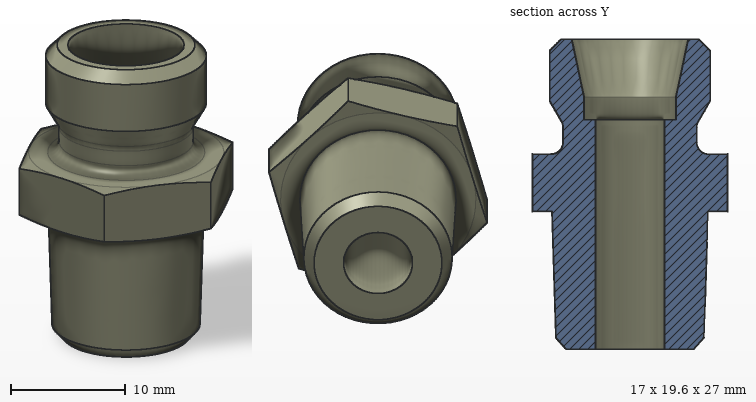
import cadquery as cq
import math

total_height = 27.0
hex_bottom = 12.0
hex_top = 17.0

across_flats = 17.0
across_corners = across_flats / math.cos(math.radians(30))
hex_chamfer_angle = 15.0

stub_top_diameter = 13.6
stub_taper = 1 / 16
stub_chamfer_width = 0.9
stub_chamfer_height = 1.0

collar_diameter = 14.0
collar_bottom = 21.63
collar_chamfer = 1.0
neck_diameter = 11.7
neck_fillet = 1.0
underside_angle = 30.0

bore_diameter = 6.0
socket_diameter = 8.0
socket_depth = 7.0
mouth_diameter = 10.12
mouth_half_angle = 12.0


def make_hexagon():
    """Hexagon with flats facing X, its corners cut back by a cone at both ends."""
    height = hex_top - hex_bottom
    prism = (
        cq.Workplane("XY")
        .workplane(offset=hex_bottom)
        .polygon(6, across_corners)
        .extrude(height)
        .rotate((0, 0, 0), (0, 0, 1), 30)
    )
    flat_radius = across_flats / 2
    rim_radius = across_corners / 2 + 0.27
    drop = (rim_radius - flat_radius) * math.tan(math.radians(hex_chamfer_angle))
    envelope = (
        cq.Workplane("XZ")
        .moveTo(0, hex_bottom)
        .lineTo(flat_radius, hex_bottom)
        .lineTo(rim_radius, hex_bottom + drop)
        .lineTo(rim_radius, hex_top - drop)
        .lineTo(flat_radius, hex_top)
        .lineTo(0, hex_top)
        .close()
        .revolve(360, (0, 0, 0), (0, 1, 0))
    )
    return prism.intersect(envelope)


def make_turned_body():
    """Solid of revolution: tapered stub, filleted neck and chamfered collar."""
    stub_top_radius = stub_top_diameter / 2
    taper_length = hex_bottom - stub_chamfer_height
    stub_bottom_radius = stub_top_radius - taper_length * stub_taper / 2
    neck_radius = neck_diameter / 2
    collar_radius = collar_diameter / 2
    fillet_center_radius = neck_radius + neck_fillet
    fillet_center_height = hex_top + neck_fillet
    fillet_offset = neck_fillet * math.sqrt(0.5)

    underside = math.radians(underside_angle)
    neck_top = collar_bottom - (collar_radius - neck_radius) / math.tan(underside)
    round_start = neck_top - neck_fillet * math.tan(underside / 2)

    def round_point(angle):
        return (
            fillet_center_radius - neck_fillet * math.cos(angle),
            round_start + neck_fillet * math.sin(angle),
        )

    return (
        cq.Workplane("XZ")
        .lineTo(stub_bottom_radius - stub_chamfer_width, 0)
        .lineTo(stub_bottom_radius, stub_chamfer_height)
        .lineTo(stub_top_radius, hex_bottom)
        .lineTo(fillet_center_radius, hex_bottom)
        .lineTo(fillet_center_radius, hex_top)
        .threePointArc(
            (fillet_center_radius - fillet_offset, fillet_center_height - fillet_offset),
            (neck_radius, fillet_center_height),
        )
        .lineTo(neck_radius, round_start)
        .threePointArc(round_point(underside / 2), round_point(underside))
        .lineTo(collar_radius, collar_bottom)
        .lineTo(collar_radius, total_height - collar_chamfer)
        .lineTo(collar_radius - collar_chamfer, total_height)
        .lineTo(0, total_height)
        .close()
        .revolve(360, (0, 0, 0), (0, 1, 0))
    )


def make_bore():
    """Through bore with a stepped socket and a conical mouth at the top."""
    bore_radius = bore_diameter / 2
    socket_radius = socket_diameter / 2
    mouth_radius = mouth_diameter / 2
    cone_depth = (mouth_radius - socket_radius) / math.tan(math.radians(mouth_half_angle))
    socket_floor = total_height - socket_depth
    return (
        cq.Workplane("XZ")
        .lineTo(bore_radius, 0)
        .lineTo(bore_radius, socket_floor)
        .lineTo(socket_radius, socket_floor)
        .lineTo(socket_radius, total_height - cone_depth)
        .lineTo(mouth_radius, total_height)
        .lineTo(0, total_height)
        .close()
        .revolve(360, (0, 0, 0), (0, 1, 0))
    )


result = make_turned_body().union(make_hexagon()).cut(make_bore())